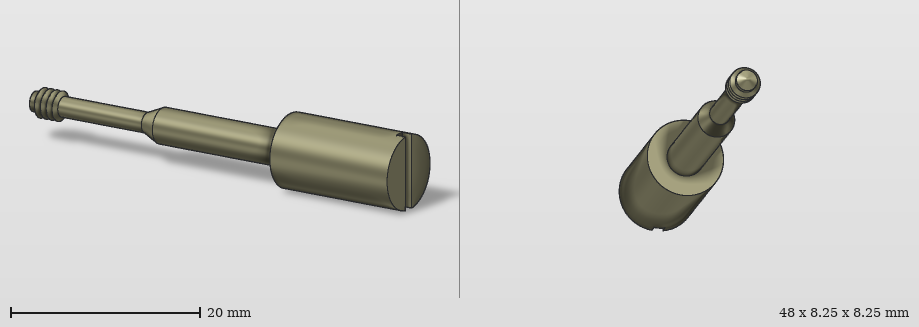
import cadquery as cq

total_length = 48.0
point_length = 0.62
thread_start = 1.25
thread_length = 3.0
taper_start = 14.85
shoulder_start = 16.8
head_start = 33.15

core_diameter = 2.25
thread_diameter = 3.3
shoulder_diameter = 4.0
head_diameter = 8.25

ridge_count = 4
slot_width = 1.2
slot_depth = 1.15

core_radius = core_diameter / 2
thread_radius = thread_diameter / 2
shoulder_radius = shoulder_diameter / 2
head_radius = head_diameter / 2
ridge_pitch = thread_length / ridge_count


def make_body():
    """Revolve the (axial position, radius) outline about the X axis."""
    outline = cq.Workplane("XY").lineTo(point_length, core_radius)
    outline = outline.lineTo(thread_start, core_radius)

    for index in range(ridge_count):
        ridge_start = thread_start + index * ridge_pitch
        outline = outline.lineTo(ridge_start + ridge_pitch / 2, thread_radius)
        outline = outline.lineTo(ridge_start + ridge_pitch, core_radius)

    outline = (
        outline.lineTo(taper_start, core_radius)
        .lineTo(shoulder_start, shoulder_radius)
        .lineTo(head_start, shoulder_radius)
        .lineTo(head_start, head_radius)
        .lineTo(total_length, head_radius)
        .lineTo(total_length, 0)
        .close()
    )
    return outline.revolve(360, (0, 0, 0), (1, 0, 0))


def make_slot():
    """Straight slot across the head end, running along Z."""
    return (
        cq.Workplane("XY")
        .box(slot_depth, slot_width, head_diameter)
        .translate((total_length - slot_depth / 2, 0, 0))
    )


result = make_body().cut(make_slot())